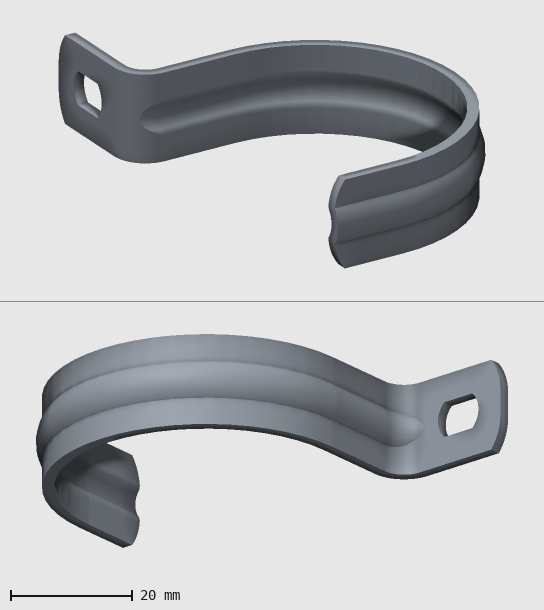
import cadquery as cq
import math

overall_length = 76.2
width = 16.0
thickness = 2.0
inner_radius = 25.0
outer_radius = inner_radius + thickness
base_y = -19.5
bend_radius = 6.0
tip_y = base_y + 6.4

bead_rise = 1.0
bead_radius = 6.0
groove_radius = bead_radius - thickness
groove_edge_radius = 2.0
groove_runout_radius = 17.5
groove_runout_angle = 20
bead_runout_angle = 90
overlap = 0.4

end_flat = 4.8
end_drop = 2.0
end_side = (width - end_flat) / 2
end_radius = (end_side**2 + end_drop**2) / (2 * end_drop)

slot_diameter = 8.6
slot_height = 6.2
slot_from_tab_end = 9.0

tab_end_x = outer_radius + bead_rise - overall_length
bend_x = -inner_radius - bend_radius
bend_y = base_y + bend_radius


def make_strip():
    """Tab, bend, leg, half-round arch and free leg in one outline."""
    diagonal = math.sqrt(0.5)
    inner_bend = bend_radius - thickness
    return (
        cq.Workplane("XY").workplane(offset=-width / 2)
        .moveTo(tab_end_x, base_y)
        .lineTo(bend_x, base_y)
        .threePointArc(
            (bend_x + bend_radius * diagonal, bend_y - bend_radius * diagonal),
            (-inner_radius, bend_y),
        )
        .lineTo(-inner_radius, 0)
        .threePointArc((0, inner_radius), (inner_radius, 0))
        .lineTo(inner_radius, tip_y)
        .lineTo(outer_radius, tip_y)
        .lineTo(outer_radius, 0)
        .threePointArc((0, outer_radius), (-outer_radius, 0))
        .lineTo(-outer_radius, bend_y)
        .threePointArc(
            (bend_x + inner_bend * diagonal, bend_y - inner_bend * diagonal),
            (bend_x, base_y + thickness),
        )
        .lineTo(tab_end_x, base_y + thickness)
        .close()
        .extrude(width)
    )


def bead_section(y, side):
    """Raised outside of the bead; side is +1 or -1 for the right or left leg."""
    half_width = math.sqrt(bead_radius**2 - (bead_radius - bead_rise)**2)
    root = side * (outer_radius - overlap)
    face = side * outer_radius
    crest = side * (outer_radius + bead_rise)
    return (
        cq.Workplane("XZ", origin=(0, y, 0))
        .moveTo(root, -half_width)
        .lineTo(face, -half_width)
        .threePointArc((crest, 0), (face, half_width))
        .lineTo(root, half_width)
        .close()
    )


def groove_section(y, side):
    """Hollow inside of the bead, with an edge round tangent to the inner face."""
    arc_depth = groove_radius - bead_rise
    centre_distance = groove_radius + groove_edge_radius
    angle = math.acos((arc_depth + groove_edge_radius) / centre_distance)
    half_width = centre_distance * math.sin(angle)
    tangent_x = side * (inner_radius - arc_depth + groove_radius * math.cos(angle))
    tangent_z = groove_radius * math.sin(angle)
    round_x = side * (inner_radius + groove_edge_radius * (1 - math.cos(angle / 2)))
    round_z = half_width - groove_edge_radius * math.sin(angle / 2)
    face = side * inner_radius
    root = side * (inner_radius - overlap)
    return (
        cq.Workplane("XZ", origin=(0, y, 0))
        .moveTo(root, -half_width)
        .lineTo(face, -half_width)
        .threePointArc((round_x, -round_z), (tangent_x, -tangent_z))
        .threePointArc((side * (inner_radius + bead_rise), 0), (tangent_x, tangent_z))
        .threePointArc((round_x, round_z), (face, half_width))
        .lineTo(root, half_width)
        .close()
    )


def follow_strip(section, runout_axis_x, runout_angle):
    """Carry a section along both legs and the arch, then curve it out at the bend."""
    free_leg = section(0, 1).extrude(-tip_y)
    arch = section(0, 1).revolve(180, (0, 0, 0), (0, 1, 0))
    tab_leg = section(0, -1).extrude(-bend_y)
    runout = section(bend_y, -1).revolve(
        runout_angle, (runout_axis_x, 0, 0), (runout_axis_x, -1, 0)
    )
    return arch.union(free_leg).union(tab_leg).union(runout)


def make_end_envelope():
    """Block whose tab end and free-leg end are rounded across the strip width."""
    half_flat = end_flat / 2
    half_width = width / 2
    half_angle = math.asin(end_side / end_radius) / 2
    mid_drop = end_radius * (1 - math.cos(half_angle))
    mid_z = half_flat + end_radius * math.sin(half_angle)

    def rounded_end(plane, end, far):
        return (
            plane
            .moveTo(far, -half_width)
            .lineTo(end + end_drop, -half_width)
            .threePointArc((end + mid_drop, -mid_z), (end, -half_flat))
            .lineTo(end, half_flat)
            .threePointArc((end + mid_drop, mid_z), (end + end_drop, half_width))
            .lineTo(far, half_width)
            .close()
        )

    reach = overall_length
    left = rounded_end(cq.Workplane("XZ"), tab_end_x, 0).extrude(reach, both=True)
    right = rounded_end(cq.Workplane("YZ"), tip_y, reach).extrude(reach)
    return left.union(right)


def make_slot():
    """Cutter for the flattened round hole through the tab."""
    slot_x = tab_end_x + slot_from_tab_end
    cutter_length = 4 * thickness
    round_hole = (
        cq.Workplane("XZ", origin=(slot_x, base_y, 0))
        .circle(slot_diameter / 2)
        .extrude(cutter_length / 2, both=True)
    )
    flats = cq.Workplane("XY").box(slot_diameter, cutter_length, slot_height)
    return round_hole.intersect(flats.translate((slot_x, base_y, 0)))


bead = follow_strip(bead_section, bend_x - bead_rise, bead_runout_angle)
groove_axis_x = -inner_radius - bead_rise - groove_runout_radius
groove = follow_strip(groove_section, groove_axis_x, groove_runout_angle)

result = make_strip().union(bead).cut(groove)
result = result.intersect(make_end_envelope()).cut(make_slot())